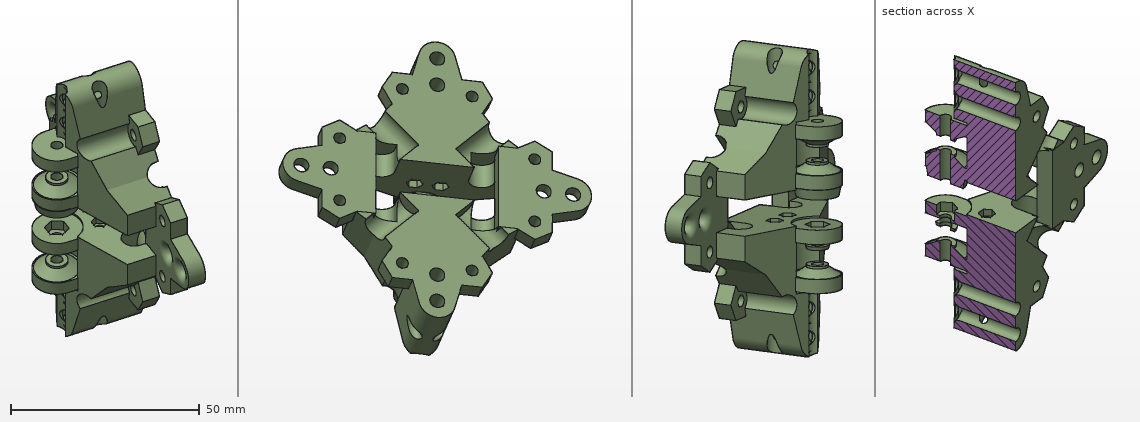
import cadquery as cq
import math


foot_depth = 5.0
half_span = 42.0
nose_radius = 5.0
nose_place = half_span - nose_radius
tongue_taper = math.radians(15)
tongue_root = 26.0
tab_out = 26.55
tab_aside = 9.5
tab_flats = 9.6
tab_corners = tab_flats / math.cos(math.radians(30))
tab_hole = 3.2
tongue_hole = 4.0
flare_diameter = 8.0
flare_radius = (flare_diameter - tongue_hole) / 2
tongue_hole_places = [nose_place, nose_place - flare_diameter]

plate_inner = 16.7
plate_half_width = 12.3

block_bottom = 4.95
wing_tip = 22.85
wing_tip_top = 11.9
wing_knee = (16.2, 16.6)
wing_shoulder = (10.75, 23.8)
ridge_depth = 22.7
wing_tip_depth = 13.6
head_room_diameter = 6.55
groove_diameter = 5.5
flare_slot = 4.4

hinge_depth = 23.0
lug_radius = 6.6
lug_root_depth = 15.1
pocket_radius = 7.0
pocket_top = 23.5
hinge_hole = 3.2
outer_lug = (19.0, 22.85)
inner_lug = (5.5, 9.4)
cone_base_diameter = 12.4
cone_height = 2.0
tip_diameter = 6.0
tip_height = 0.7
cap_top_diameter = 12.8
cap_bottom_diameter = 11.6
cap_height = 2.85
hinge_nut_corners = 6.55
hinge_nut_depth = 2.9

screw_aside = 3.5
screw_depth = 12.0
screw_hole = 2.5
screw_head = 4.0
screw_head_seat = 32.2
screw_nut_corners = 4.5
screw_nut_depth = 2.1

cable_radius = 3.5
cable_axis_depth = 0.7
cable_inner_end = 7.6
cable_length = 25.2
port_place = 13.6
port_axis_depth = 6.8
port_top = 11.8
back_overrun = 0.8

bushing_neck = 3.5
bushing_flange = 6.55
bushing_flange_height = 1.0
bushing_length = 2.5


def front_plane(depth):
    """Plane facing forward at the given depth, with local axes X and Z."""
    return cq.Workplane("XZ", origin=(0, -depth, 0))


def level(height, depth, x=0.0):
    """Horizontal plane centred at the given place."""
    return cq.Workplane("XY", origin=(x, -depth, height))


def tongue_half_width(place):
    """Half width of the tapered tongue at a distance from the centre."""
    return nose_radius / math.cos(tongue_taper) + (nose_place - place) * math.tan(tongue_taper)


def tongue_tangent():
    """Half width and place where the straight tongue side meets the round nose."""
    width = nose_radius * math.cos(tongue_taper)
    return width, nose_place + nose_radius * math.sin(tongue_taper)


def flare(x, z, depth):
    """Hole entry that widens in a quarter round towards the front."""
    middle = flare_radius * math.sqrt(0.5)
    profile = (
        cq.Workplane("XY", origin=(x, -depth, z))
        .lineTo(flare_diameter / 2, 0)
        .threePointArc(
            (flare_diameter / 2 - middle, flare_radius - middle),
            (tongue_hole / 2, flare_radius),
        )
        .lineTo(0, flare_radius)
        .close()
    )
    return profile.revolve(360, (0, 0, 0), (0, 1, 0))


def plate_blank():
    """Left plate without its holes; it also shapes the seats in the housings."""
    width, place = tongue_tangent()
    root_width = tongue_half_width(tongue_root)
    blank = (
        front_plane(0)
        .moveTo(-tongue_root, -root_width)
        .lineTo(-place, -width)
        .threePointArc((-half_span, 0), (-place, width))
        .lineTo(-tongue_root, root_width)
        .close()
        .extrude(foot_depth)
    )
    for z in (-tab_aside, tab_aside):
        tab = front_plane(0).polygon(6, tab_corners).extrude(foot_depth)
        tab = tab.rotate((0, 0, 0), (0, 1, 0), 30).translate((-tab_out, 0, z))
        blank = blank.union(tab)
    core = (
        front_plane(0)
        .center(-(tab_out + plate_inner) / 2, 0)
        .rect(tab_out - plate_inner, 2 * plate_half_width)
        .extrude(foot_depth)
    )
    return blank.union(core)


def side_plate():
    """Left plate with its tab holes and flared tongue holes."""
    tab_points = [(-tab_out, tab_aside), (-tab_out, -tab_aside)]
    tab_holes = front_plane(0).pushPoints(tab_points).circle(tab_hole / 2).extrude(foot_depth)
    plate = plate_blank().cut(tab_holes)
    for place in tongue_hole_places:
        hole = front_plane(0).center(-place, 0).circle(tongue_hole / 2).extrude(foot_depth)
        plate = plate.cut(hole).cut(flare(-place, 0, foot_depth))
    return plate


def block():
    """Wings and tongue with two front faces sloping back from a central ridge."""
    width, place = tongue_tangent()
    neck_width = tongue_half_width(tab_out)
    outline = (
        front_plane(0)
        .moveTo(-wing_tip, block_bottom)
        .lineTo(wing_tip, block_bottom)
        .lineTo(wing_tip, wing_tip_top)
        .lineTo(*wing_knee)
        .lineTo(*wing_shoulder)
        .lineTo(neck_width, tab_out)
        .lineTo(width, place)
        .threePointArc((0, half_span), (-width, place))
        .lineTo(-neck_width, tab_out)
        .lineTo(-wing_shoulder[0], wing_shoulder[1])
        .lineTo(-wing_knee[0], wing_knee[1])
        .lineTo(-wing_tip, wing_tip_top)
        .close()
        .extrude(ridge_depth)
    )
    section_points = [
        (-wing_tip, 0),
        (wing_tip, 0),
        (wing_tip, -wing_tip_depth),
        (0, -ridge_depth),
        (-wing_tip, -wing_tip_depth),
    ]
    section = cq.Workplane("XY").polyline(section_points).close().extrude(half_span)
    return outline.intersect(section)


def add_tabs(body):
    """Screw tabs beside the tongue, with room for the screw heads in front of them."""
    for x in (-tab_aside, tab_aside):
        tab = front_plane(0).center(x, tab_out).polygon(6, tab_corners).extrude(foot_depth)
        head_room = front_plane(foot_depth).center(x, tab_out)
        head_room = head_room.circle(head_room_diameter / 2).extrude(ridge_depth)
        hole = front_plane(0).center(x, tab_out).circle(tab_hole / 2).extrude(foot_depth)
        body = body.cut(head_room).union(tab).cut(hole)
    return body


def cut_tongue(body):
    """Front groove coaxial with the hinge, and the flared holes in its floor."""
    groove = level(block_bottom, hinge_depth).circle(groove_diameter / 2).extrude(half_span)
    body = body.cut(groove)
    groove_floor = hinge_depth - groove_diameter / 2
    inside_groove = front_plane(0).center(0, nose_place).rect(flare_slot, half_span)
    inside_groove = inside_groove.extrude(ridge_depth)
    for place in tongue_hole_places:
        hole = front_plane(0).center(0, place).circle(tongue_hole / 2).extrude(ridge_depth)
        body = body.cut(hole).cut(flare(0, place, groove_floor).intersect(inside_groove))
    return body


def cut_hinge_pocket(body):
    """Round pocket around the hinge axis, open to the front and the bottom."""
    height = pocket_top - block_bottom
    return body.cut(level(block_bottom, hinge_depth).circle(pocket_radius).extrude(height))


def cut_screws(body):
    """Two long screw holes with head recesses in the tongue sides and nut recesses below."""
    for x in (-screw_aside, screw_aside):
        hole = level(block_bottom, screw_depth, x).circle(screw_hole / 2).extrude(half_span)
        head = level(screw_head_seat, screw_depth, x).circle(screw_head / 2).extrude(half_span)
        nut = level(block_bottom, screw_depth, x).polygon(6, screw_nut_corners)
        body = body.cut(hole).cut(head).cut(nut.extrude(screw_nut_depth))
    return body


def back_slot(axis_depth, length):
    """Upright slot open to the back, with a round front end, standing on Z = 0."""
    return (
        cq.Workplane("XY")
        .moveTo(-cable_radius, back_overrun)
        .lineTo(-cable_radius, -axis_depth)
        .threePointArc((0, -axis_depth - cable_radius), (cable_radius, -axis_depth))
        .lineTo(cable_radius, back_overrun)
        .close()
        .extrude(length)
    )


def cut_cable_passages(body):
    """Port in each wing's bottom face and a diagonal channel out of its outer side."""
    for side in (-1, 1):
        port = back_slot(port_axis_depth, port_top - block_bottom)
        port = port.translate((side * port_place, 0, block_bottom))
        channel = back_slot(cable_axis_depth, cable_length)
        channel = channel.rotate((0, 0, 0), (0, 1, 0), side * 45)
        channel = channel.translate((side * cable_inner_end, 0, cable_inner_end))
        body = body.cut(port).cut(channel)
    return body


def lug(bottom, top):
    """Hinge lug with a round front, reaching back into the pocket wall."""
    height = top - bottom
    reach = hinge_depth - lug_root_depth
    root = level(bottom, hinge_depth).center(0, reach / 2)
    root = root.rect(2 * lug_radius, reach).extrude(height)
    return level(bottom, hinge_depth).circle(lug_radius).extrude(height).union(root)


def tapered_disc(bottom, height, bottom_diameter, top_diameter):
    """Cone frustum on the hinge axis."""
    return (
        level(bottom, hinge_depth)
        .circle(bottom_diameter / 2)
        .workplane(offset=height)
        .circle(top_diameter / 2)
        .loft()
    )


def tip(bottom):
    """Short cylinder at the narrow end of a lug cone."""
    return level(bottom, hinge_depth).circle(tip_diameter / 2).extrude(tip_height)


def add_outer_lug(body):
    """Lug next to the tongue, with a cone facing the inner lug."""
    bottom, top = outer_lug
    cone = tapered_disc(bottom - cone_height, cone_height, tip_diameter, cone_base_diameter)
    body = body.union(lug(bottom, top)).union(cone)
    return body.union(tip(bottom - cone_height - tip_height))


def bore_hinge(body):
    """Hinge hole through all lugs."""
    return body.cut(level(0, hinge_depth).circle(hinge_hole / 2).extrude(half_span))


def housing():
    """Features shared by both housings, built above the hinge gap."""
    body = cut_hinge_pocket(cut_tongue(add_tabs(block())))
    body = add_outer_lug(cut_cable_passages(cut_screws(body)))
    left_seat = plate_blank()
    return body.cut(left_seat).cut(left_seat.mirror("YZ"))


def upper_housing():
    """Housing whose inner lug carries a cone above and a tapered cap below."""
    bottom, top = inner_lug
    cone = tapered_disc(top, cone_height, cone_base_diameter, tip_diameter)
    cap = tapered_disc(bottom - cap_height, cap_height, cap_bottom_diameter, cap_top_diameter)
    body = housing().union(lug(bottom, top)).union(cone)
    return bore_hinge(body.union(tip(top + cone_height)).union(cap))


def lower_housing():
    """Mirrored housing whose plain inner lug has a nut recess in its outer face."""
    bottom, top = inner_lug
    body = bore_hinge(housing().union(lug(bottom, top)))
    nut = level(bottom, hinge_depth).polygon(6, hinge_nut_corners).extrude(hinge_nut_depth)
    return body.cut(nut).mirror("XY")


def hinge_bushing():
    """Flanged sleeve hanging under the inner lug of the lower housing."""
    seat = -inner_lug[1]
    bottom = seat - bushing_length
    neck = level(bottom, hinge_depth).circle(bushing_neck / 2).extrude(bushing_length)
    flange = tapered_disc(bottom, bushing_flange_height, tip_diameter, bushing_flange)
    bore = level(bottom, hinge_depth).circle(hinge_hole / 2).extrude(bushing_length)
    return neck.union(flange).cut(bore)


left_plate = side_plate()
right_plate = left_plate.mirror("YZ")
result = cq.Compound.makeCompound([
    *upper_housing().solids().vals(),
    *lower_housing().solids().vals(),
    *left_plate.solids().vals(),
    *right_plate.solids().vals(),
    *hinge_bushing().solids().vals(),
])